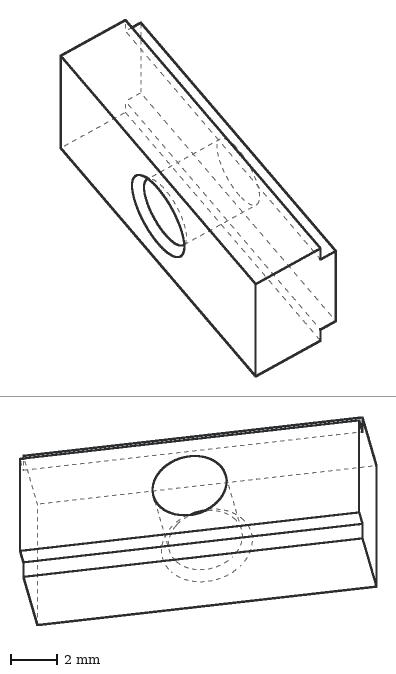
import cadquery as cq

length = 14.9
depth = 4.2
height = 6.7

step = 0.8
body_depth = depth - step
tongue_height = height - 2 * step

hole_diameter = 3.25
mouth_diameter = 4.0
mouth_chamfer = (mouth_diameter - hole_diameter) / 2

body = cq.Workplane("XY").box(length, body_depth, height, centered=(True, False, True))

tongue = cq.Workplane("XY").box(length, depth, tongue_height, centered=(True, False, True))

result = body.union(tongue)
result = result.faces("<Y").workplane(origin=(0, 0, 0)).hole(hole_diameter)
result = result.faces("<Y").edges("%CIRCLE").chamfer(mouth_chamfer)